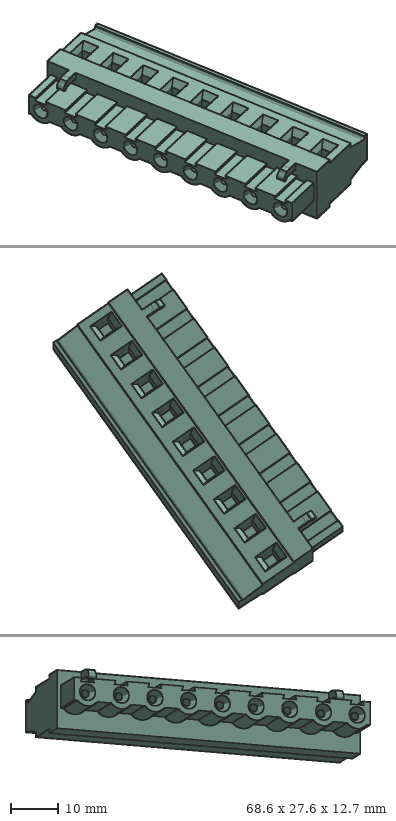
import cadquery as cq
import math


pole_count = 9
pitch = 7.62
length = pole_count * pitch

housing_depth = 19.27
collar_depth = 4.95
block_depth = 13.0
ridge_thickness = 0.9
groove_radius = 0.4
tail_flat_depth = 2.1

height = 12.7
collar_step = 0.87
block_bottom = collar_step
block_top = height - collar_step
tail_front_top = 10.75
tail_front_bottom = 2.1
ridge_top = 10.2
groove_bottom = 9.5
tail_flat_bottom = 3.1
tail_rear_bottom = 3.3

tongue_length = 8.33
tongue_inset = 0.83
tongue_top = 9.37
tongue_bottom = 4.4
socket_height = 6.32
lobe_radius = 3.0

socket_mouth_diameter = 3.5
contact_diameter = 1.6
lead_in_depth = 1.5
contact_depth = 6.0

key_top_width = 2.5
key_bottom_width = 3.0
key_depth = 0.83

pocket_width = 3.8
pocket_front = 5.5
pocket_rear = 11.0
well_width = 2.8
well_front = 6.75
well_rear = 9.7
funnel_depth = 1.55
well_depth = 5.0

latch_width = 1.75
latch_end_distance = 6.3
latch_thickness = 1.65
latch_straight = 2.1
latch_bevel_length = 1.24
latch_bevel_drop = 0.15
latch_shoulder_length = 0.36
latch_shoulder_drop = 0.26
latch_slope_drop = 0.75
latch_tip_radius = 0.63
latch_root_radius = 0.2

pole_positions = [(i - (pole_count - 1) / 2) * pitch for i in range(pole_count)]


def extrude_along_row(profile, width, center=0.0):
    """Extrude a closed (Y, Z) profile along X, centred on the given X."""
    return profile.extrude(width / 2, both=True).translate((center, 0, 0))


def make_housing():
    """Collar, block and tapered tail with its rear ridge."""
    ridge_front = housing_depth - ridge_thickness
    profile = (
        cq.Workplane("YZ")
        .moveTo(0, 0)
        .lineTo(collar_depth, 0)
        .lineTo(collar_depth, block_bottom)
        .lineTo(block_depth, block_bottom)
        .lineTo(block_depth, tail_front_bottom)
        .lineTo(housing_depth - tail_flat_depth, tail_flat_bottom)
        .lineTo(housing_depth, tail_rear_bottom)
        .lineTo(housing_depth, ridge_top)
        .lineTo(ridge_front, ridge_top)
        .lineTo(ridge_front, groove_bottom + groove_radius)
        .radiusArc((ridge_front - groove_radius, groove_bottom), groove_radius)
        .lineTo(block_depth, tail_front_top)
        .lineTo(block_depth, block_top)
        .lineTo(collar_depth, block_top)
        .lineTo(collar_depth, height)
        .lineTo(0, height)
        .close()
    )
    return extrude_along_row(profile, length)


def make_tongue():
    """Plug tongue with a round lobe under every socket."""
    tongue = cq.Workplane("XY").box(
        length - 2 * tongue_inset,
        tongue_length,
        tongue_top - tongue_bottom,
        centered=(True, False, False),
    ).translate((0, -tongue_length, tongue_bottom))
    half_chord = math.sqrt(lobe_radius**2 - (socket_height - tongue_bottom) ** 2)
    for x in pole_positions:
        lobe = (
            cq.Workplane("XZ")
            .moveTo(x - half_chord, tongue_bottom)
            .threePointArc((x, socket_height - lobe_radius), (x + half_chord, tongue_bottom))
            .close()
            .extrude(tongue_length)
        )
        tongue = tongue.union(lobe)
    return tongue


def make_key_slot(x):
    """Dovetail slot, wider at its floor, over the full tongue length."""
    floor = tongue_top - key_depth
    return (
        cq.Workplane("XZ")
        .polyline([
            (x - key_bottom_width / 2, floor),
            (x + key_bottom_width / 2, floor),
            (x + key_top_width / 2, tongue_top),
            (x - key_top_width / 2, tongue_top),
        ])
        .close()
        .extrude(tongue_length)
    )


def make_socket(x):
    """Lead-in cone followed by a blind contact bore."""
    profile = (
        cq.Workplane("XY")
        .moveTo(0, 0)
        .lineTo(socket_mouth_diameter / 2, 0)
        .lineTo(contact_diameter / 2, lead_in_depth)
        .lineTo(contact_diameter / 2, contact_depth)
        .lineTo(0, contact_depth)
        .close()
    )
    socket = profile.revolve(360, (0, 0, 0), (0, 1, 0))
    return socket.translate((x, -tongue_length, socket_height))


def make_pocket(x):
    """Rectangular funnel narrowing into a straight-walled blind well."""
    mouth_center = (pocket_front + pocket_rear) / 2
    well_center = (well_front + well_rear) / 2
    well_size = (well_width, well_rear - well_front)
    funnel_floor = block_top - funnel_depth
    funnel = (
        cq.Workplane("XY", origin=(x, mouth_center, block_top))
        .rect(pocket_width, pocket_rear - pocket_front)
        .workplane(offset=-funnel_depth)
        .center(0, well_center - mouth_center)
        .rect(*well_size)
        .loft(ruled=True)
    )
    well = (
        cq.Workplane("XY", origin=(x, well_center, funnel_floor))
        .rect(*well_size)
        .extrude(-well_depth)
    )
    return funnel.union(well)


def make_latch(x):
    """Arm flush with the collar top, bevelled and bent down 45 degrees to a round tip."""
    arm_bottom = height - latch_thickness
    bevel_y = -latch_straight - latch_bevel_length
    bevel_z = height - latch_bevel_drop
    shoulder_y = bevel_y - latch_shoulder_length
    shoulder_z = bevel_z - latch_shoulder_drop
    slope_y = shoulder_y - latch_slope_drop
    slope_z = shoulder_z - latch_slope_drop
    tip_reach = latch_tip_radius * math.sqrt(2)
    heel_y = slope_y + tip_reach
    heel_z = slope_z - tip_reach
    profile = (
        cq.Workplane("YZ")
        .moveTo(0, arm_bottom - latch_root_radius)
        .lineTo(0, height)
        .lineTo(-latch_straight, height)
        .lineTo(bevel_y, bevel_z)
        .lineTo(shoulder_y, shoulder_z)
        .lineTo(slope_y, slope_z)
        .tangentArcPoint((heel_y, heel_z), relative=False)
        .lineTo(heel_y + (arm_bottom - heel_z), arm_bottom)
        .lineTo(-latch_root_radius, arm_bottom)
        .radiusArc((0, arm_bottom - latch_root_radius), latch_root_radius)
        .close()
    )
    return extrude_along_row(profile, latch_width, x)


result = make_housing().union(make_tongue())
for side in (-1, 1):
    result = result.union(make_latch(side * (length / 2 - latch_end_distance)))
for pole_x in pole_positions:
    result = result.cut(make_key_slot(pole_x))
    result = result.cut(make_socket(pole_x))
    result = result.cut(make_pocket(pole_x))